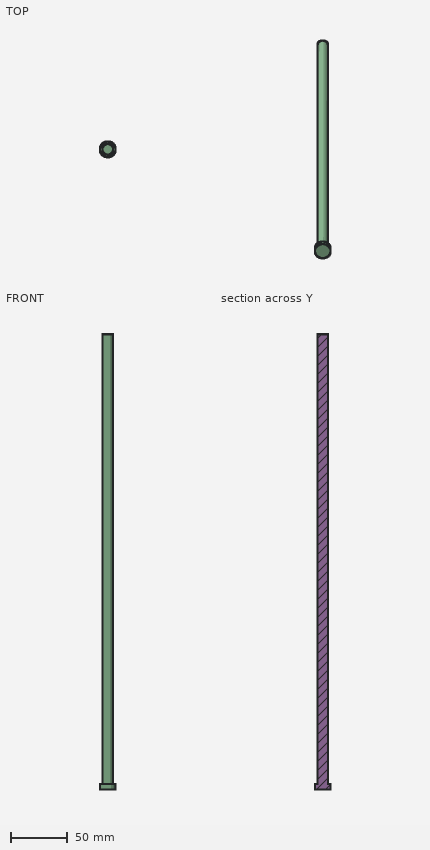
import cadquery as cq

total_length = 400.0
head_diameter = 14.0
head_height = 5.0
shank_diameter = 9.5

head = cq.Workplane("XY").circle(head_diameter / 2).extrude(head_height)
shank = cq.Workplane("XY").circle(shank_diameter / 2).extrude(total_length)

result = head.union(shank)